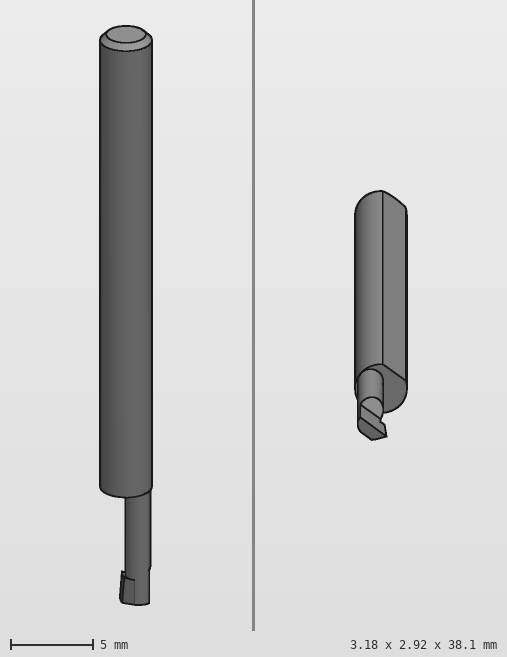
import cadquery as cq
import math

overall_length = 38.1
shank_diameter = 3.175
shank_radius = shank_diameter / 2
across_flat = 2.92
flat_y = across_flat - shank_radius
top_chamfer = 0.38

neck_length = 7.62
neck_diameter = 1.56
neck_radius = neck_diameter / 2
neck_x = shank_radius - neck_radius

pocket_height = 2.31
pocket_ramp_angle = 35

tooth_height = 1.83
tooth_tip_x = -0.43
tooth_side_angle = 4.5
flank_break_x = -0.05
flank_break_y = -0.57
heel_start_x = 0.12
heel_y = -0.766
flank_plan_at_tip = [
    (tooth_tip_x, 0),
    (flank_break_x, flank_break_y),
    (heel_start_x, heel_y),
]
tooth_back_plan = [
    (neck_x, heel_y),
    (neck_x, 0),
]

end_edge_angle = 2.5
end_relief_angle = 7


def make_shank():
    """Round bar with a chamfered top end and a flat along its full length."""
    shank_length = overall_length - neck_length
    shank = cq.Workplane("XY").workplane(offset=neck_length).circle(shank_radius).extrude(shank_length)
    shank = shank.faces(">Z").chamfer(top_chamfer)
    flat_cutter = (
        cq.Workplane("XY")
        .box(shank_diameter, shank_radius, overall_length, centered=(True, False, False))
        .translate((0, flat_y, 0))
    )
    return shank.cut(flat_cutter)


def make_neck():
    """Slim bar, halved at its lower end by the ramped chip pocket, with a heel flat on its -Y side."""
    neck = cq.Workplane("XY").center(neck_x, 0).circle(neck_radius).extrude(neck_length)
    pocket_depth = neck_diameter
    ramp_rise = pocket_depth * math.tan(math.radians(pocket_ramp_angle))
    pocket = (
        cq.Workplane("YZ")
        .polyline([(0, 0), (pocket_depth, 0), (pocket_depth, pocket_height + ramp_rise), (0, pocket_height)])
        .close()
        .extrude(shank_radius, both=True)
    )
    heel_flat = (
        cq.Workplane("XY")
        .box(neck_diameter, neck_radius, tooth_height, centered=(True, False, False))
        .translate((neck_x, heel_y - neck_radius, 0))
    )
    return neck.cut(pocket).cut(heel_flat)


def make_tooth():
    """Prism behind the rake face, whose flanks lean toward +X as they rise."""
    lean = tooth_height * math.tan(math.radians(tooth_side_angle))
    flank_plan_at_top = [(x + lean, y) for x, y in flank_plan_at_tip]
    return (
        cq.Workplane("XY")
        .polyline(flank_plan_at_tip + tooth_back_plan)
        .close()
        .workplane(offset=tooth_height)
        .polyline(flank_plan_at_top + tooth_back_plan)
        .close()
        .loft(ruled=True)
    )


def make_end_cutter():
    """Block whose sloped top face trims the lower end up and away from the tooth tip."""
    block_size = 2 * shank_diameter
    return (
        cq.Workplane("XY")
        .box(block_size, block_size, block_size)
        .translate((0, 0, -block_size / 2))
        .rotate((0, 0, 0), (1, 0, 0), -end_relief_angle)
        .rotate((0, 0, 0), (0, 1, 0), -end_edge_angle)
        .translate((tooth_tip_x, 0, 0))
    )


head = make_neck().union(make_tooth()).cut(make_end_cutter())
result = make_shank().union(head)